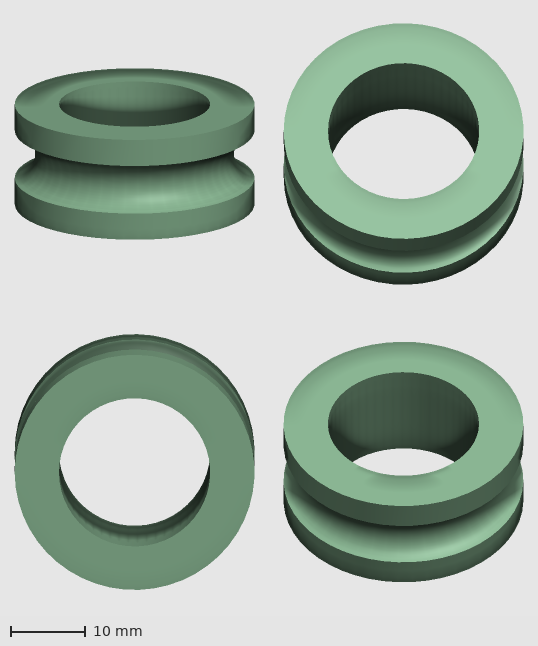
import cadquery as cq

outer_diameter = 32.15
bore_diameter = 20.25
height = 14.0
groove_width = 6.7
groove_depth = 2.75

outer_radius = outer_diameter / 2
bore_radius = bore_diameter / 2
half_height = height / 2
half_groove = groove_width / 2
groove_floor_radius = outer_radius - groove_depth

section = (
    cq.Workplane("XZ")
    .moveTo(bore_radius, -half_height)
    .lineTo(outer_radius, -half_height)
    .lineTo(outer_radius, -half_groove)
    .threePointArc((groove_floor_radius, 0), (outer_radius, half_groove))
    .lineTo(outer_radius, half_height)
    .lineTo(bore_radius, half_height)
    .close()
)

result = section.revolve(360, (0, 0, 0), (0, 1, 0))